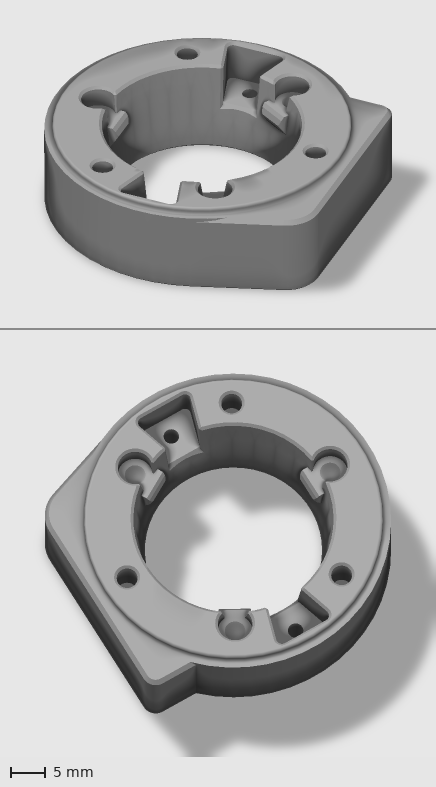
import cadquery as cq
import math

ring_radius = 22.615
total_height = 13.0
rim_height = 0.95
shoulder_height = total_height - rim_height
rim_radius = 21.45
rim_fillet = 0.4
bottom_chamfer = 0.28

bore_bottom_radius = 12.65
bore_top_radius = 14.4
bore_bottom_chamfer = 0.4
inner_edge_chamfer = 0.35

overall_length = 46.0
block_right = overall_length - ring_radius
block_top = 16.1
block_slant_angle = 19.3
block_small_corner = 2.0
block_large_corner = 5.0
block_chamfer = 0.6

pocket_angles = (90, 270)
pocket_floor = 6.95
pocket_inner_end = 9.2
pocket_outer_end = 20.15
pocket_outer_half_width = 4.55
pocket_side_slope = 0.3
pocket_corner = 0.85
vent_diameter = 2.2
vent_from_axis = 17.4

seat_angles = (60, 180, 300)
seat_from_axis = 16.15
seat_radius = 2.5
seat_floor = 9.9
dimple_diameter = 2.95
dimple_depth = 0.6
tongue_width = 4.7
tongue_corner = 0.7
tongue_tip = 12.2
tongue_tip_height = 8.4
tongue_bevel_height = 9.35
tongue_bevel_run = 0.3
tongue_top_start = 12.95
tongue_root = 15.2
tongue_underside_slope = 1.6

hole_angles = (0, 120, 240)
hole_from_axis = 17.75
hole_diameter = 3.0
hole_depth = 6.0
hole_chamfer = 0.35

tolerance = 0.05


def at_angle(shape, angle):
    return shape.rotate((0, 0, 0), (0, 0, 1), angle)


def make_rim():
    """Raised rim with a rounded top edge and a hollow fillet at its foot."""
    return (
        cq.Workplane("XZ")
        .moveTo(0, shoulder_height)
        .lineTo(rim_radius + rim_fillet, shoulder_height)
        .radiusArc((rim_radius, shoulder_height + rim_fillet), rim_fillet)
        .lineTo(rim_radius, total_height - rim_fillet)
        .radiusArc((rim_radius - rim_fillet, total_height), -rim_fillet)
        .lineTo(0, total_height)
        .close()
        .revolve(360, (0, 0, 0), (0, 1, 0))
    )


def make_block():
    """Side block whose slanted face runs tangent to the ring."""
    slant = math.radians(block_slant_angle)
    tangent_x = ring_radius * math.sin(slant)
    tangent_y = -ring_radius * math.cos(slant)
    corner_y = tangent_y + (block_right - tangent_x) * math.tan(slant)
    block = (
        cq.Workplane("XY")
        .moveTo(0, block_top)
        .lineTo(block_right, block_top)
        .lineTo(block_right, corner_y)
        .lineTo(tangent_x, tangent_y)
        .lineTo(0, 0)
        .close()
        .extrude(shoulder_height)
    )
    large_corner = cq.selectors.NearestToPointSelector((block_right, corner_y, shoulder_height / 2))
    block = block.edges("|Z and >X and >Y").fillet(block_small_corner)
    block = block.edges(large_corner).fillet(block_large_corner)
    return block.faces(">Z").edges().chamfer(block_chamfer)


def make_bore():
    taper = cq.Workplane(cq.Solid.makeCone(bore_bottom_radius, bore_top_radius, total_height))
    flare = cq.Workplane(
        cq.Solid.makeCone(bore_bottom_radius + bore_bottom_chamfer, bore_bottom_radius, bore_bottom_chamfer)
    )
    return taper.union(flare)


def make_floor_bevel(inner_half_width):
    """Wedge that slopes the pocket floor down into the bore, between the same flared sides."""
    wall_radius = bore_bottom_radius + (bore_top_radius - bore_bottom_radius) * pocket_floor / total_height
    bevel_start = wall_radius + inner_edge_chamfer
    bevel_drop = bevel_start - pocket_inner_end
    start_half_width = inner_half_width + pocket_side_slope * bevel_drop
    wedge = (
        cq.Workplane("XZ", origin=(0, start_half_width, 0))
        .moveTo(bevel_start, pocket_floor)
        .lineTo(pocket_inner_end, pocket_floor - bevel_drop)
        .lineTo(pocket_inner_end, pocket_floor)
        .close()
        .extrude(2 * start_half_width)
    )
    sides = (
        cq.Workplane("XY")
        .moveTo(pocket_inner_end, -inner_half_width)
        .lineTo(bevel_start, -start_half_width)
        .lineTo(bevel_start, start_half_width)
        .lineTo(pocket_inner_end, inner_half_width)
        .close()
        .extrude(total_height)
    )
    return wedge.intersect(sides)


def make_trapezoid_pocket():
    pocket_length = pocket_outer_end - pocket_inner_end
    inner_half_width = pocket_outer_half_width - pocket_side_slope * pocket_length
    pocket = (
        cq.Workplane("XY", origin=(0, 0, pocket_floor))
        .moveTo(pocket_inner_end, -inner_half_width)
        .lineTo(pocket_outer_end, -pocket_outer_half_width)
        .lineTo(pocket_outer_end, pocket_outer_half_width)
        .lineTo(pocket_inner_end, inner_half_width)
        .close()
        .extrude(total_height)
    )
    pocket = pocket.edges("|Z and >X").fillet(pocket_corner)
    return pocket.union(make_floor_bevel(inner_half_width))


def make_vent():
    return cq.Workplane("XY", origin=(vent_from_axis, 0, 0)).circle(vent_diameter / 2).extrude(total_height)


def make_seat():
    return cq.Workplane("XY", origin=(seat_from_axis, 0, seat_floor)).circle(seat_radius).extrude(total_height)


def make_tongue():
    """Tongue with a bevelled tip, a sloping underside and rounded upright corners."""
    reach = tongue_root - tongue_tip
    profile = (
        cq.Workplane("XZ", origin=(0, tongue_width / 2, 0))
        .moveTo(tongue_root, seat_floor)
        .lineTo(tongue_top_start, seat_floor)
        .lineTo(tongue_tip + tongue_bevel_run, tongue_bevel_height)
        .lineTo(tongue_tip, tongue_tip_height)
        .lineTo(tongue_root, tongue_tip_height - reach * tongue_underside_slope)
        .close()
        .extrude(tongue_width)
    )
    plan = (
        cq.Workplane("XY")
        .rect(2 * reach, tongue_width)
        .extrude(total_height)
        .edges("|Z")
        .fillet(tongue_corner)
        .translate((tongue_root, 0, 0))
    )
    return profile.intersect(plan)


def make_dimple():
    sphere_radius = (dimple_depth**2 + (dimple_diameter / 2) ** 2) / (2 * dimple_depth)
    sphere_height = seat_floor - dimple_depth + sphere_radius
    return cq.Workplane("XY").sphere(sphere_radius).translate((seat_from_axis, 0, sphere_height))


def make_blind_hole():
    radius = hole_diameter / 2
    bottom = total_height - hole_depth
    return (
        cq.Workplane("XZ", origin=(hole_from_axis, 0, 0))
        .moveTo(0, bottom)
        .lineTo(radius, bottom)
        .lineTo(radius, total_height - hole_chamfer)
        .lineTo(radius + hole_chamfer, total_height)
        .lineTo(0, total_height)
        .close()
        .revolve(360, (0, 0, 0), (0, 1, 0))
    )


def is_beveled_edge(edge):
    """True for the bore's top edge and the top and upright edges of the pockets and seats."""
    middle = edge.Center()
    box = edge.BoundingBox()
    inside_rim = math.hypot(middle.x, middle.y) < rim_radius - 0.9
    above_floor = box.zmax > pocket_floor + 0.9
    not_rim_circle = box.xmax - box.xmin < rim_radius
    not_seat_floor = abs(middle.z - seat_floor) > tolerance
    return inside_rim and above_floor and not_rim_circle and not_seat_floor


def chamfer_inner_edges(body):
    mouth_edges = body.faces("%CONE").edges().filter(is_beveled_edge)
    top_edges = body.faces(">Z").edges().filter(is_beveled_edge)
    return top_edges.add(mouth_edges).chamfer(inner_edge_chamfer)


cylinder = cq.Workplane("XY").circle(ring_radius).extrude(shoulder_height)
body = cylinder.union(make_block()).faces("<Z").edges().chamfer(bottom_chamfer)
body = body.union(make_rim()).cut(make_bore())
for angle in pocket_angles:
    body = body.cut(at_angle(make_trapezoid_pocket(), angle))
for angle in seat_angles:
    body = body.cut(at_angle(make_seat(), angle))
body = chamfer_inner_edges(body)
for angle in seat_angles:
    body = body.union(at_angle(make_tongue(), angle)).cut(at_angle(make_dimple(), angle))
for angle in pocket_angles:
    body = body.cut(at_angle(make_vent(), angle))
for angle in hole_angles:
    body = body.cut(at_angle(make_blind_hole(), angle))
result = body